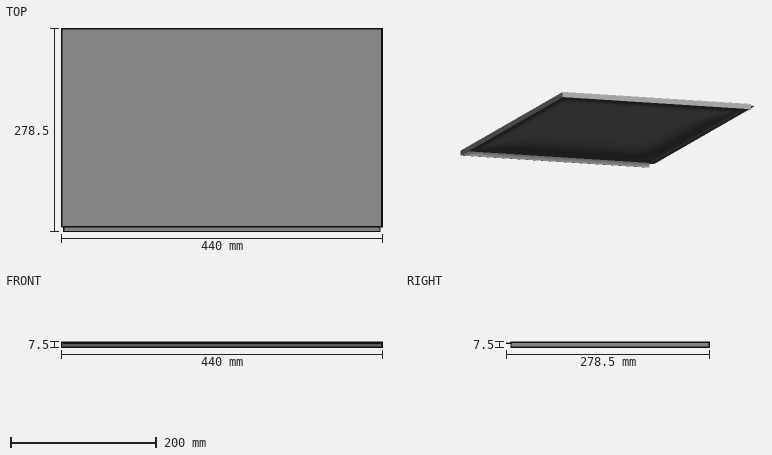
import cadquery as cq

length = 440.0
overall_depth = 278.5
height = 7.5
sheet = 1.0
bend_radius = 1.15
tongue_reach = 6.0
tongue_inset = 3.0
tongue_drop = 1.55

panel_depth = overall_depth - tongue_reach
front_y = -overall_depth / 2
panel_front_y = front_y + tongue_reach
panel_center_y = panel_front_y + panel_depth / 2


def box_on_base(size_x, size_y, size_z, center_y, base_z):
    """Box centred on X, standing on the given base height."""
    return (
        cq.Workplane("XY", origin=(0, center_y, base_z))
        .box(size_x, size_y, size_z, centered=(True, True, False))
    )


def make_pan():
    """Panel with walls bent down along the left, right and rear edges."""
    outer = box_on_base(length, panel_depth, height, panel_center_y, 0)
    outer = outer.faces(">Z").edges("<X or >X or >Y").fillet(bend_radius)
    cavity_depth = panel_depth - sheet
    cavity_center_y = panel_front_y + cavity_depth / 2
    cavity = box_on_base(length - 2 * sheet, cavity_depth, height - sheet, cavity_center_y, 0)
    return outer.cut(cavity)


def make_tongue():
    """Front lip stepped below the panel, joined to it by a short riser."""
    tongue_width = length - 2 * tongue_inset
    tongue_depth = tongue_reach + sheet
    tongue_base_z = height - tongue_drop - sheet
    lip = box_on_base(tongue_width, tongue_depth, sheet, front_y + tongue_depth / 2, tongue_base_z)
    riser_height = height - sheet - tongue_base_z
    riser = box_on_base(tongue_width, sheet, riser_height, panel_front_y + sheet / 2, tongue_base_z)
    return lip.union(riser)


result = make_pan().union(make_tongue())